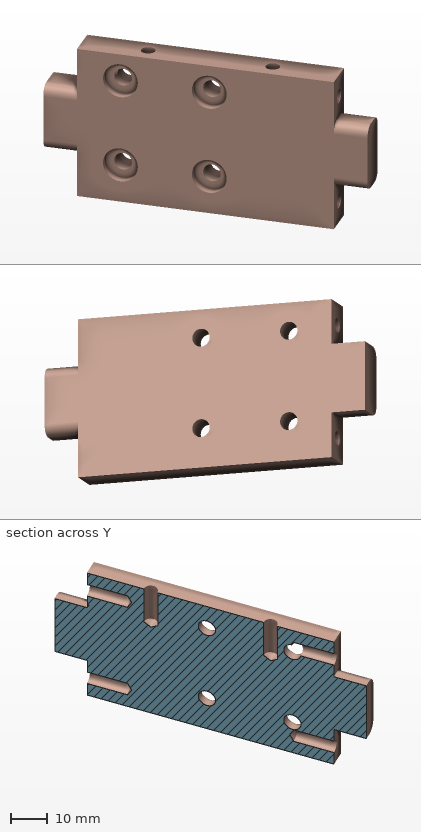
import cadquery as cq
import math

total_length = 92.7
thickness = 9.55
plate_height = 44.4
plate_length = 73.4
tongue_height = 19.3
tongue_radius = 3.0

bolt_pitch = 25.4
bolt_centre_x = -11.6
bolt_centre_z = 1.6
bolt_diameter = 5.0
counterbore_diameter = 9.9
counterbore_depth = 2.5

drill_diameter = 4.0
drill_depth = 12.0
drill_tip_angle = 118.0
top_drill_pitch = 35.6
end_drill_pitch = 31.7


def make_tongue(side, rounded_edges):
    """Half-length bar reaching from the middle of the part to one end."""
    return (
        cq.Workplane("XY")
        .box(total_length / 2, thickness, tongue_height)
        .edges(rounded_edges)
        .fillet(tongue_radius)
        .translate((side * total_length / 4, 0, 0))
    )


def make_body():
    plate = cq.Workplane("XY").box(plate_length, thickness, plate_height)
    left_tongue = make_tongue(-1, "|X and <Y")
    right_tongue = make_tongue(1, "|X")
    return plate.union(left_tongue).union(right_tongue)


def cut_bolt_holes(body):
    return (
        body.faces("<Y")
        .workplane(origin=(bolt_centre_x, 0, bolt_centre_z))
        .rarray(bolt_pitch, bolt_pitch, 2, 2)
        .cboreHole(bolt_diameter, counterbore_diameter, counterbore_depth)
    )


def make_drill(position, direction):
    """Cylinder with a conical tip, running from position along direction."""
    radius = drill_diameter / 2
    tip_length = radius / math.tan(math.radians(drill_tip_angle / 2))
    start = cq.Vector(*position)
    axis = cq.Vector(*direction)
    shank = cq.Solid.makeCylinder(radius, drill_depth, start, axis)
    tip = cq.Solid.makeCone(radius, 0, tip_length, start + axis * drill_depth, axis)
    return shank.fuse(tip)


def cut_edge_holes(body):
    for side in (-1, 1):
        top_position = (side * top_drill_pitch / 2, 0, plate_height / 2)
        body = body.cut(cq.Workplane(make_drill(top_position, (0, 0, -1))))
        for end in (-1, 1):
            end_position = (end * plate_length / 2, 0, side * end_drill_pitch / 2)
            body = body.cut(cq.Workplane(make_drill(end_position, (-end, 0, 0))))
    return body


result = cut_edge_holes(cut_bolt_holes(make_body()))